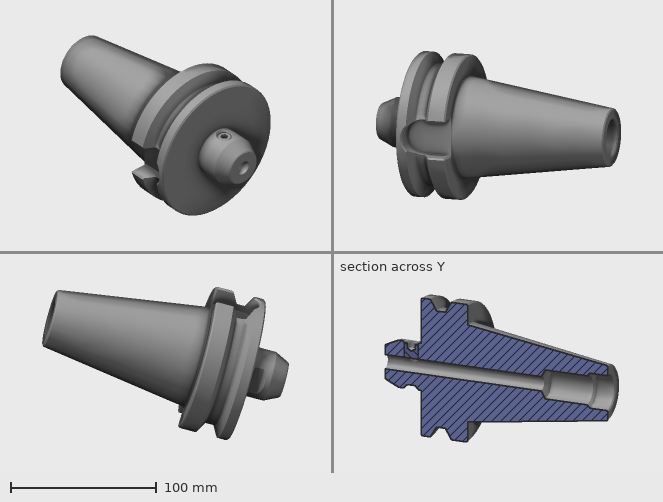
import cadquery as cq
import math


total_length = 166.8
gauge_length = 102.7
gauge_radius = 35.0
taper_ratio = 7 / 24
shank_root_fillet = 0.8
small_end_radius = gauge_radius - gauge_length * taper_ratio / 2
small_end_chamfer = 0.8

flange_radius = 50.0
flange_start = 104.8
flange_end = 139.8
flange_chamfer = 1.0
groove_floor_radius = 42.2
groove_floor_start = 121.6
groove_floor_end = 128.1
groove_floor_fillet = 0.7
groove_side_angle = math.radians(30)
groove_side_run = (flange_radius - groove_floor_radius) * math.tan(groove_side_angle)

slot_width = 25.0
slot_floor = 35.4
slot_length = 30.7
slot_chamfer = 1.2
slot_floor_fillet = 0.5

nose_radius = 34.5 / 2
nose_cone_start = 156.5
nose_tip_radius = 12.7
nose_chamfer = 0.7
nose_root_fillet = 0.5
nose_shoulder_fillet = 1.0

pilot_radius = 25.0 / 2
pilot_chamfer = 0.8
pilot_depth = 13.3
thread_radius = 20.7 / 2
thread_depth = 46.7
tool_bore_radius = 10.0 / 2
thread_countersink_half_angle = math.radians(45)
drill_point_half_angle = math.radians(60)

screw_x = 147.1
screw_radius = 10.0 / 2
screw_top = 16.0
screw_edge_radius = 8.3 / 2
hexagon_sides = 6
socket_across_flats = 5.0
socket_depth = 4.0
socket_point_depth = 1.5

underside_groove_depth = 2.8
underside_groove_floor_width = 5.8

edge_tolerance = 0.002


def cone_length(outer_radius, inner_radius, half_angle):
    """Axial length of a cone between two radii."""
    return (outer_radius - inner_radius) / math.tan(half_angle)


def circle_edge(body, x, radius):
    """Circular edge of a turned body at one place along the axis."""
    for edge in body.edges("%CIRCLE").vals():
        if abs(edge.Center().x - x) < edge_tolerance and abs(edge.radius() - radius) < edge_tolerance:
            return edge


def make_blank():
    """Outer shape of the holder, turned from one profile."""
    profile = [
        (0, 0),
        (0, small_end_radius - small_end_chamfer),
        (small_end_chamfer, small_end_radius + small_end_chamfer * taper_ratio / 2),
        (gauge_length, gauge_radius),
        (flange_start, gauge_radius),
        (flange_start, flange_radius - flange_chamfer),
        (flange_start + flange_chamfer, flange_radius),
        (groove_floor_start - groove_side_run, flange_radius),
        (groove_floor_start, groove_floor_radius),
        (groove_floor_end, groove_floor_radius),
        (groove_floor_end + groove_side_run, flange_radius),
        (flange_end - flange_chamfer, flange_radius),
        (flange_end, flange_radius - flange_chamfer),
        (flange_end, nose_radius),
        (nose_cone_start, nose_radius),
        (total_length - nose_chamfer, nose_tip_radius),
        (total_length, nose_tip_radius - nose_chamfer),
        (total_length, 0),
    ]
    blank = cq.Workplane("XZ").polyline(profile).close().revolve(360, (0, 0, 0), (1, 0, 0))
    rounded_circles = [
        (flange_start, gauge_radius, shank_root_fillet),
        (groove_floor_start, groove_floor_radius, groove_floor_fillet),
        (groove_floor_end, groove_floor_radius, groove_floor_fillet),
        (flange_end, nose_radius, nose_root_fillet),
        (nose_cone_start, nose_radius, nose_shoulder_fillet),
    ]
    for x, radius, fillet_radius in rounded_circles:
        blank = blank.newObject([circle_edge(blank, x, radius)]).fillet(fillet_radius)
    return blank


def make_bores():
    """Stepped bore through the whole length of the holder."""
    thread_start = pilot_depth + cone_length(pilot_radius, thread_radius, thread_countersink_half_angle)
    drill_point_end = thread_depth + cone_length(thread_radius, tool_bore_radius, drill_point_half_angle)
    profile = [
        (0, 0),
        (0, pilot_radius + pilot_chamfer),
        (pilot_chamfer, pilot_radius),
        (pilot_depth, pilot_radius),
        (thread_start, thread_radius),
        (thread_depth, thread_radius),
        (drill_point_end, tool_bore_radius),
        (total_length, tool_bore_radius),
        (total_length, 0),
    ]
    return cq.Workplane("XZ").polyline(profile).close().revolve(360, (0, 0, 0), (1, 0, 0))


def make_slot():
    """Cutter for the round-ended drive slot on the -Y side, rounded along its floor."""
    arc_center = flange_start + slot_length - slot_width / 2
    half_width = slot_width / 2
    slot = (
        cq.Workplane("XZ", origin=(0, -slot_floor, 0))
        .moveTo(gauge_length, -half_width)
        .lineTo(arc_center, -half_width)
        .threePointArc((arc_center + half_width, 0), (arc_center, half_width))
        .lineTo(gauge_length, half_width)
        .close()
        .extrude(flange_radius)
    )
    return slot.faces(">Y").edges("not <X").fillet(slot_floor_fillet)


def make_slot_mouth():
    """Cutter that chamfers the slot walls where they open on the flange face."""
    mouth = [
        (flange_start, -slot_width / 2 - slot_chamfer),
        (flange_start + slot_chamfer, -slot_width / 2),
        (flange_start + slot_chamfer, slot_width / 2),
        (flange_start, slot_width / 2 + slot_chamfer),
    ]
    return cq.Workplane("XZ", origin=(0, -slot_floor, 0)).polyline(mouth).close().extrude(flange_radius)


def is_slot_rim(edge):
    """True for an edge where a drive slot breaks through the flange rim."""
    middle = edge.positionAt(0.5)
    on_rim = abs(math.hypot(middle.y, middle.z) - flange_radius) < edge_tolerance
    return on_rim and edge.geomType() != "CIRCLE"


def cut_drive_slots(holder):
    """Two opposite drive slots with chamfered rims and mouths."""
    slot = make_slot()
    mouth = make_slot_mouth()
    holder = holder.cut(slot).cut(slot.mirror("XZ"))
    rim_edges = [edge for edge in holder.edges().vals() if is_slot_rim(edge)]
    holder = holder.newObject(rim_edges).chamfer(slot_chamfer)
    return holder.cut(mouth).cut(mouth.mirror("XZ"))


def cut_screw_hole(holder):
    """Countersunk hole for the clamping screw, from the tool bore to the top of the nose."""
    countersink_radius = screw_radius + nose_radius - screw_top
    profile = [
        (0, 0),
        (screw_radius, 0),
        (screw_radius, screw_top),
        (countersink_radius, nose_radius),
        (0, nose_radius),
    ]
    outline = cq.Workplane("XZ", origin=(screw_x, 0, 0)).polyline(profile).close()
    hole = outline.revolve(360, (0, 0, 0), (0, 1, 0))
    return holder.cut(hole)


def cut_underside_groove(holder):
    """Groove with 45 degree sides that runs across the bottom of the nose."""
    floor_half = underside_groove_floor_width / 2
    mouth_half = floor_half + underside_groove_depth
    profile = [
        (screw_x - mouth_half, -nose_radius),
        (screw_x - floor_half, -nose_radius + underside_groove_depth),
        (screw_x + floor_half, -nose_radius + underside_groove_depth),
        (screw_x + mouth_half, -nose_radius),
    ]
    groove = cq.Workplane("XZ").polyline(profile).close().extrude(nose_radius, both=True)
    return holder.cut(groove)


def make_holder():
    """Tool holder with its bores, drive slots and screw hole."""
    holder = make_blank().cut(make_bores())
    holder = cut_drive_slots(holder)
    holder = cut_screw_hole(holder)
    return cut_underside_groove(holder)


def make_screw():
    """Set screw with a chamfered top and a hexagon socket, standing on the edge of the tool bore."""
    screw = (
        cq.Workplane("XY", origin=(screw_x, 0, tool_bore_radius))
        .circle(screw_radius)
        .extrude(screw_top - tool_bore_radius)
        .faces(">Z")
        .chamfer(screw_radius - screw_edge_radius)
    )
    across_corners = socket_across_flats / math.cos(math.pi / hexagon_sides)
    socket = (
        cq.Workplane("XY", origin=(screw_x, 0, screw_top - socket_depth))
        .polygon(hexagon_sides, across_corners)
        .extrude(socket_depth)
    )
    socket_point = cq.Workplane(
        cq.Solid.makeCone(
            0,
            socket_across_flats / 2,
            socket_point_depth,
            pnt=(screw_x, 0, screw_top - socket_depth - socket_point_depth),
        )
    )
    return screw.cut(socket).cut(socket_point)


holder = make_holder()
screw = make_screw()
result = cq.Compound.makeCompound([holder.solids().val(), screw.solids().val()])